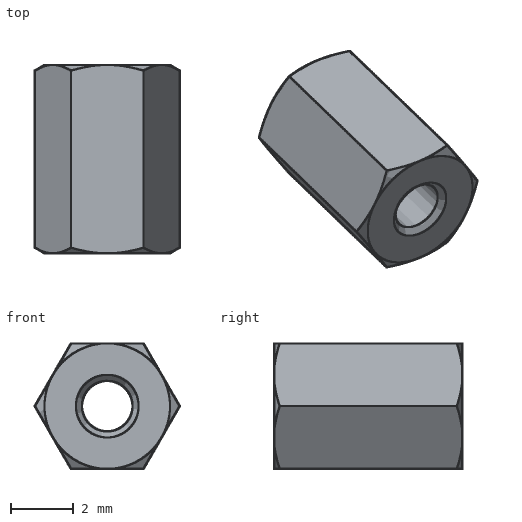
import cadquery as cq
import math

length = 6.0
across_flats = 4.0
bore_diameter = 1.6
countersink_diameter = 2.0
countersink_angle = 90.0
corner_chamfer_angle = 30.0

flat_radius = across_flats / 2
corner_radius = flat_radius / math.cos(math.radians(30))
corner_chamfer_depth = (corner_radius - flat_radius) * math.tan(math.radians(corner_chamfer_angle))
bore_radius = bore_diameter / 2
countersink_radius = countersink_diameter / 2
countersink_depth = (countersink_radius - bore_radius) / math.tan(math.radians(countersink_angle / 2))
half_length = length / 2


def hexagonal_bar():
    """Hexagonal prism centred on the origin, with corners on the X axis."""
    return cq.Workplane("XZ").polygon(6, 2 * corner_radius).extrude(half_length, both=True)


def turned_envelope():
    """Revolved body that bevels the hexagon corners and forms the countersunk bore."""
    profile = [
        (bore_radius, half_length - countersink_depth),
        (countersink_radius, half_length),
        (flat_radius, half_length),
        (corner_radius, half_length - corner_chamfer_depth),
        (corner_radius, -half_length + corner_chamfer_depth),
        (flat_radius, -half_length),
        (countersink_radius, -half_length),
        (bore_radius, -half_length + countersink_depth),
    ]
    return cq.Workplane("XY").polyline(profile).close().revolve(360, (0, 0, 0), (0, 1, 0))


result = hexagonal_bar().intersect(turned_envelope())